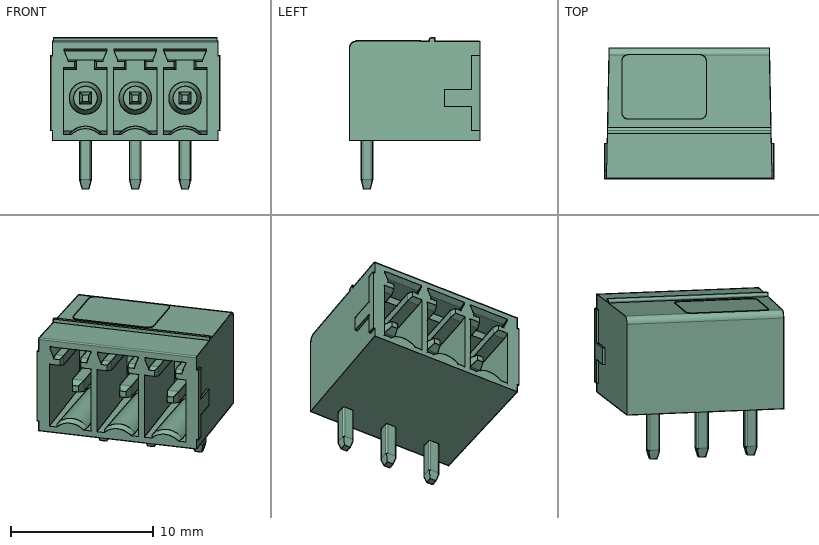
import cadquery as cq


pole_count = 3
pole_pitch = 3.5
pole_positions = [(i - (pole_count - 1) / 2) * pole_pitch for i in range(pole_count)]

overall_width = 11.9
housing_depth = 9.2
housing_height = 7.0
front_width = 11.64
back_width = 11.28
front_edge_radius = 0.1
back_edge_radius = 0.5

rib_front_y = 3.19
rib_thickness = 0.4
rib_height = 0.25
rib_radius = 0.19

cheek_depth = 0.6
cheek_bottom_z = 0.71
cheek_top_z = 5.97
cheek_arm_depth = 2.5
cheek_arm_height = 1.19

pad_length = 5.94
pad_depth = 4.52
pad_left_x = -4.74
pad_front_y = 4.2
pad_height = 0.04
pad_radius = 0.44

cavity_width = 3.06
cavity_depth = 7.0
floor_front_z = 0.44
floor_back_z = 0.69
ceiling_z = 5.0

lead_in = 0.13
lead_in_depth = 0.49

channel_width = 1.27
slot_bottom_z = 5.69
slot_top_z = 6.32
slot_depth = 2.0
slot_top_width = 3.0
slot_bottom_width = 2.48

ridge_radius = 1.4
ridge_top_z = 1.02
ridge_lead_in = 0.18
ridge_lead_in_depth = 0.49

collar_base_radius = 1.14
collar_tip_radius = 0.83
collar_length = 0.85

pin_width = 0.83
pin_thickness = 0.82
pin_axis_z = 3.0
pin_leg_y = 7.96
pin_front_y = 1.2
pin_length_below = 3.4
pin_edge_radius = 0.12
contact_tip_width = 0.45
contact_tip_length = 0.69
leg_tip_width = 0.48
leg_tip_length = 0.67


def side_prism(points, width):
    """Extrude a (Y, Z) outline symmetrically about X = 0."""
    return cq.Workplane("YZ").polyline(points).close().extrude(width / 2, both=True)


def depth_prism(points, depth):
    """Extrude an (X, Z) outline from the mating face towards the back."""
    return cq.Workplane("XZ").polyline(points).close().extrude(-depth)


def make_shell():
    """Housing block with its top rib, narrowing towards the back."""
    block = (
        cq.Workplane("YZ")
        .rect(housing_depth, housing_height, centered=False)
        .extrude(front_width / 2, both=True)
    )
    block = block.edges("|X and >Z and <Y").fillet(front_edge_radius)
    block = block.edges("|X and >Z and >Y").fillet(back_edge_radius)

    rib = (
        cq.Workplane("YZ", origin=(0, rib_front_y, housing_height - rib_height))
        .rect(rib_thickness, 2 * rib_height, centered=False)
        .extrude(front_width / 2, both=True)
        .edges("|X and >Z and >Y")
        .fillet(rib_radius)
    )

    drafted_plan = (
        cq.Workplane("XY")
        .polyline([
            (-front_width / 2, 0),
            (front_width / 2, 0),
            (back_width / 2, housing_depth),
            (-back_width / 2, housing_depth),
        ])
        .close()
        .extrude(housing_height + rib_height)
    )
    return block.union(rib).intersect(drafted_plan)


def make_cheeks():
    """T-shaped plates standing out of both sides; one bar spans the full width."""
    arm_bottom_z = pin_axis_z - cheek_arm_height / 2
    arm_top_z = pin_axis_z + cheek_arm_height / 2
    return side_prism(
        [
            (0, cheek_bottom_z),
            (cheek_depth, cheek_bottom_z),
            (cheek_depth, arm_bottom_z),
            (cheek_arm_depth, arm_bottom_z),
            (cheek_arm_depth, arm_top_z),
            (cheek_depth, arm_top_z),
            (cheek_depth, cheek_top_z),
            (0, cheek_top_z),
        ],
        overall_width,
    )


def make_label_pad():
    """Thin raised pad with rounded corners on the top face."""
    embed = back_edge_radius / 2
    return (
        cq.Workplane("XY", origin=(pad_left_x, pad_front_y, housing_height - embed))
        .rect(pad_length, pad_depth, centered=False)
        .extrude(embed + pad_height)
        .edges("|Z")
        .fillet(pad_radius)
    )


def ridge_outline(plane, top_z):
    """Add a circular segment standing on Z = 0, with its crown at top_z."""
    half_chord = (ridge_radius**2 - (ridge_radius - top_z) ** 2) ** 0.5
    return (
        plane.moveTo(-half_chord, 0)
        .threePointArc((0, top_z), (half_chord, 0))
        .close()
    )


def make_ridge():
    """Arched ridge along the cavity floor, lower at the mating face."""
    front = ridge_outline(cq.Workplane("XZ"), ridge_top_z - ridge_lead_in)
    ramp = ridge_outline(front.workplane(offset=-ridge_lead_in_depth), ridge_top_z).loft(ruled=True)
    straight_start = cq.Workplane("XZ", origin=(0, ridge_lead_in_depth, 0))
    straight = ridge_outline(straight_start, ridge_top_z).extrude(ridge_lead_in_depth - cavity_depth)
    return ramp.union(straight)


def make_collar():
    """Tapered collar around the contact, standing on the cavity back wall."""
    return (
        cq.Workplane("XZ", origin=(0, cavity_depth, pin_axis_z))
        .circle(collar_base_radius)
        .workplane(offset=collar_length)
        .circle(collar_tip_radius)
        .loft()
    )


def make_cavity():
    """Space removed for one plug pole, centred on X = 0."""
    well = side_prism(
        [
            (0, floor_front_z),
            (cavity_depth, floor_back_z),
            (cavity_depth, ceiling_z),
            (lead_in_depth, ceiling_z),
            (0, ceiling_z + lead_in),
        ],
        cavity_width,
    )

    half_channel = channel_width / 2
    channel = (
        cq.Workplane("XY", origin=(0, 0, ceiling_z))
        .polyline([
            (-half_channel - lead_in, 0),
            (half_channel + lead_in, 0),
            (half_channel, lead_in_depth),
            (half_channel, cavity_depth),
            (-half_channel, cavity_depth),
            (-half_channel, lead_in_depth),
        ])
        .close()
        .extrude(slot_bottom_z - ceiling_z)
    )

    half_top = slot_top_width / 2
    half_bottom = slot_bottom_width / 2
    slot_front = depth_prism(
        [
            (-half_bottom, slot_bottom_z - lead_in),
            (half_bottom, slot_bottom_z - lead_in),
            (half_bottom, slot_bottom_z),
            (half_top, slot_top_z),
            (half_top, slot_top_z + lead_in),
            (-half_top, slot_top_z + lead_in),
            (-half_top, slot_top_z),
            (-half_bottom, slot_bottom_z),
        ],
        slot_depth,
    )
    slot_side = side_prism(
        [
            (0, slot_bottom_z - lead_in),
            (lead_in_depth, slot_bottom_z),
            (slot_depth, slot_bottom_z),
            (slot_depth, slot_top_z),
            (lead_in_depth, slot_top_z),
            (0, slot_top_z + lead_in),
        ],
        slot_top_width,
    )
    slot = slot_front.intersect(slot_side)

    return well.union(channel).union(slot).cut(make_ridge()).cut(make_collar())


def make_pin():
    """L-shaped contact pin, centred on X = 0, with a tapered point at each end."""
    contact_straight_y = pin_front_y + contact_tip_length
    contact = (
        cq.Workplane("XZ", origin=(0, contact_straight_y, pin_axis_z))
        .rect(pin_width, pin_thickness)
        .extrude(contact_straight_y - pin_leg_y - pin_thickness / 2)
    )
    contact_tip = (
        contact.faces("<Y")
        .workplane(centerOption="CenterOfBoundBox")
        .rect(pin_width, pin_thickness)
        .workplane(offset=contact_tip_length)
        .rect(contact_tip_width, contact_tip_width)
        .loft(combine=False)
    )

    leg = (
        cq.Workplane("XY", origin=(0, pin_leg_y, -pin_length_below))
        .rect(pin_width, pin_thickness)
        .extrude(pin_length_below + pin_axis_z)
        .edges("|Z")
        .fillet(pin_edge_radius)
    )
    leg_straight = (
        cq.Workplane("XY", origin=(0, pin_leg_y, leg_tip_length - pin_length_below))
        .rect(pin_width, pin_thickness)
        .extrude(pin_length_below - leg_tip_length + pin_axis_z)
    )
    leg_point = (
        cq.Workplane("XY", origin=(0, pin_leg_y, -pin_length_below))
        .rect(leg_tip_width, leg_tip_width)
        .workplane(offset=leg_tip_length)
        .rect(pin_width, pin_thickness)
        .loft()
    )
    leg = leg.intersect(leg_straight.union(leg_point))
    return contact.union(contact_tip).union(leg)


pin = make_pin()
pins = [pin.translate((x, 0, 0)) for x in pole_positions]

housing = make_shell().union(make_cheeks()).union(make_label_pad())
cavity = make_cavity()
for x in pole_positions:
    housing = housing.cut(cavity.translate((x, 0, 0)))
for pole_pin in pins:
    housing = housing.cut(pole_pin)

result = cq.Compound.makeCompound([housing.val(), *[pole_pin.val() for pole_pin in pins]])